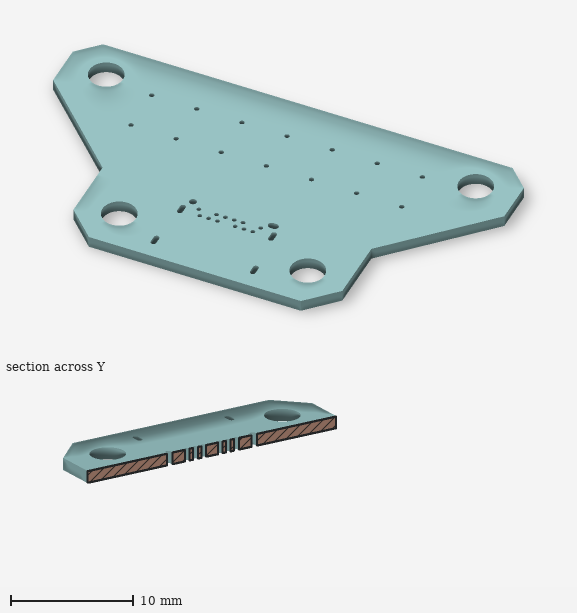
import cadquery as cq

BOARD_WIDTH = 40.65
BOARD_DEPTH = 22.25
BOARD_THICKNESS = 1.05
NECK_WIDTH = 24.22
SIDE_LENGTH = 3.85
BACK_CHAMFER = 1.85
FRONT_CHAMFER = 2.55

MOUNT_DIAMETER = 3.0
BACK_MOUNT_SPACING = 33.3
BACK_MOUNT_Y = 7.8
FRONT_MOUNT_SPACING = 17.0
FRONT_MOUNT_Y = -7.45

HEADER_DIAMETER = 0.45
HEADER_PITCH = 4.05
HEADER_COLUMNS = 7
HEADER_ROWS = 2
HEADER_Y = 5.0

CONTACT_DIAMETER = 0.4
CONTACT_HALF_PITCH = 0.4
BACK_CONTACT_Y = -4.23
CONTACT_ROW_SPACING = 0.7
BACK_CONTACT_STEPS = (1, 3, 7)
FRONT_CONTACT_STEPS = (2, 4, 6)

LOCATOR_DIAMETER = 0.65
LOCATOR_SLOT_LENGTH = 0.95
LOCATOR_X = 3.6
LOCATOR_Y = -3.58

TAB_SLOT_WIDTH = 0.5
TAB_SLOT_LENGTH = 1.1
BACK_TAB_SPACING = 8.2
BACK_TAB_Y = -4.8
FRONT_TAB_SPACING = 8.95
FRONT_TAB_Y = -9.2


def make_board():
    half_width = BOARD_WIDTH / 2
    half_neck = NECK_WIDTH / 2
    back = BOARD_DEPTH / 2
    front = -back
    side_back = back - BACK_CHAMFER
    side_front = side_back - SIDE_LENGTH
    shoulder = side_front - (half_width - half_neck)
    right_side = [
        (half_width - BACK_CHAMFER, back),
        (half_width, side_back),
        (half_width, side_front),
        (half_neck, shoulder),
        (half_neck, front + FRONT_CHAMFER),
        (half_neck - FRONT_CHAMFER, front),
    ]
    left_side = [(-x, y) for x, y in reversed(right_side)]
    return cq.Workplane("XY").polyline(right_side + left_side).close().extrude(BOARD_THICKNESS)


def mirrored_pair(spacing, y):
    return [(-spacing / 2, y), (spacing / 2, y)]


def contact_row(steps, y):
    points = []
    for step in steps:
        points += mirrored_pair(2 * step * CONTACT_HALF_PITCH, y)
    return points


def round_cutters(points, diameter):
    return cq.Workplane("XY").pushPoints(points).circle(diameter / 2).extrude(BOARD_THICKNESS)


def slot_cutters(points, length, width, angle):
    return cq.Workplane("XY").pushPoints(points).slot2D(length, width, angle).extrude(BOARD_THICKNESS)


mount_points = mirrored_pair(BACK_MOUNT_SPACING, BACK_MOUNT_Y)
mount_points += mirrored_pair(FRONT_MOUNT_SPACING, FRONT_MOUNT_Y)

header_holes = (
    cq.Workplane("XY")
    .center(0, HEADER_Y)
    .rarray(HEADER_PITCH, HEADER_PITCH, HEADER_COLUMNS, HEADER_ROWS)
    .circle(HEADER_DIAMETER / 2)
    .extrude(BOARD_THICKNESS)
)

contact_points = contact_row(BACK_CONTACT_STEPS, BACK_CONTACT_Y)
contact_points += contact_row(FRONT_CONTACT_STEPS, BACK_CONTACT_Y - CONTACT_ROW_SPACING)

tab_points = mirrored_pair(BACK_TAB_SPACING, BACK_TAB_Y)
tab_points += mirrored_pair(FRONT_TAB_SPACING, FRONT_TAB_Y)

result = (
    make_board()
    .cut(round_cutters(mount_points, MOUNT_DIAMETER))
    .cut(header_holes)
    .cut(round_cutters(contact_points, CONTACT_DIAMETER))
    .cut(round_cutters([(-LOCATOR_X, LOCATOR_Y)], LOCATOR_DIAMETER))
    .cut(slot_cutters([(LOCATOR_X, LOCATOR_Y)], LOCATOR_SLOT_LENGTH, LOCATOR_DIAMETER, 0))
    .cut(slot_cutters(tab_points, TAB_SLOT_LENGTH, TAB_SLOT_WIDTH, 90))
)